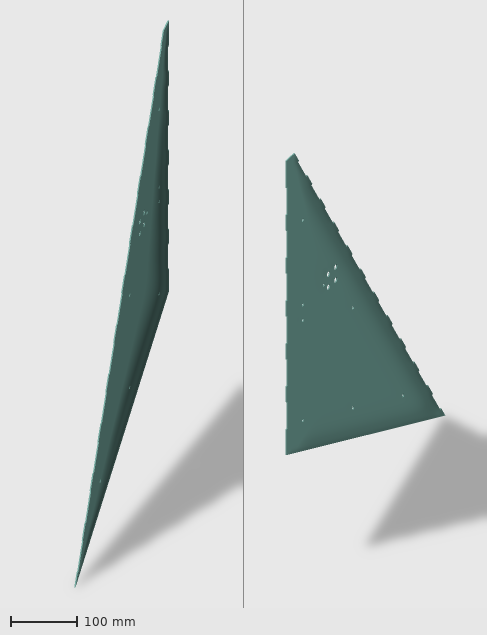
import cadquery as cq
import math


thickness = 1.95
depth = 492.0
height = 718.0
top_width = 25.0
heel_height = 196.0

notch_pitch = 76.0
notch_length = 48.0
notch_depth = 2.95
upright_notch_count = 6
slope_notch_count = 11
heel_tooth = 45.0

small_diameter = 6.0
inner_top = (-50, 586.0)
inner_heel = (-50, 230.5)
inner_tip = (-361.0, 106.0)

large_diameter = 9.0
group_spacing = 23.0
group_center = (-141.0, 436.0)
near_group_offset = 26.0

tip = (-depth, 0)
heel = (0, heel_height)
top_heel = (0, height)
top_front = (-top_width, height)


def midpoint(start, end):
    return ((start[0] + end[0]) / 2, (start[1] + end[1]) / 2)


def notch_corners(start, end, first_distance, count):
    """Return the notch corners, in order, along the outline edge that runs from start to end.

    The outline runs anticlockwise in (Y, Z), so the panel lies to the left of each edge.
    """
    length = math.dist(start, end)
    along = ((end[0] - start[0]) / length, (end[1] - start[1]) / length)
    inward = (-along[1], along[0])

    def corner(distance, inset):
        return tuple(start[axis] + distance * along[axis] + inset * inward[axis] for axis in (0, 1))

    corners = []
    for index in range(count):
        near = first_distance + index * notch_pitch
        far = near + notch_length
        corners += [corner(near, 0), corner(near, notch_depth), corner(far, notch_depth), corner(far, 0)]
    return corners


def drill(body, centers, diameter):
    """Cut through holes at the given (Y, Z) centers."""
    cutter = cq.Workplane("YZ").pushPoints(centers).circle(diameter / 2).extrude(thickness)
    return body.cut(cutter)


slope_notch_span = (slope_notch_count - 1) * notch_pitch + notch_length
slope_end_tooth = (math.dist(tip, top_front) - slope_notch_span) / 2
outline = [
    top_front,
    *notch_corners(top_front, tip, slope_end_tooth, slope_notch_count),
    tip,
    heel,
    *notch_corners(heel, top_heel, heel_tooth, upright_notch_count),
    top_heel,
]
panel = cq.Workplane("YZ").polyline(outline).close().extrude(thickness)

triangle_holes = [
    inner_top,
    inner_heel,
    inner_tip,
    midpoint(inner_top, inner_heel),
    midpoint(inner_heel, inner_tip),
    midpoint(inner_tip, inner_top),
]
level_holes = [
    (group_center[0] + near_group_offset, group_center[1]),
    (inner_top[0], group_center[1]),
]
panel = drill(panel, triangle_holes + level_holes, small_diameter)

group_holes = [
    (group_center[0] + side * group_spacing / 2, group_center[1] + level * group_spacing / 2)
    for side in (-1, 1)
    for level in (-1, 1)
]
result = drill(panel, group_holes, large_diameter)